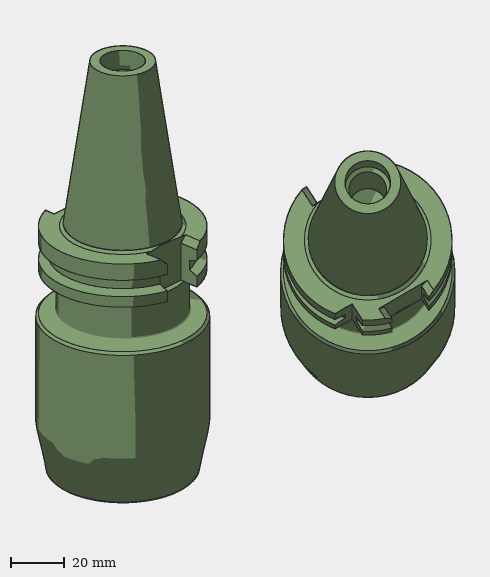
import cadquery as cq
import math

total_length = 171.2
body_radius = 32.5

nose_radius = 28.8
nose_chamfer = 0.7
nose_taper_top_radius = 32.0
nose_taper_top = 17.0
body_cylinder_bottom = 20.7
body_chamfer = 1.0
body_cylinder_top = 64.2
shoulder_top = 66.8
shoulder_inner_radius = 26.0

neck_radius = 50.0 / 2
neck_fillet_radius = shoulder_inner_radius - neck_radius

flange_radius = 31.5
flange_bottom = 83.9
flange_top = 102.0
groove_radius = 27.9
groove_bottom_edge = 88.4
groove_top_edge = 95.2
groove_side_height = 1.5

taper_small_radius = 12.3
taper_large_radius = 22.3
taper_base = 103.1
relief_radius = 43.8 / 2
relief_collar_radius = 23.6
relief_top = 102.8

counterbore_radius = 17.0 / 2
counterbore_depth = 6.3
recess_radius = 17.5 / 2
recess_depth = 8.2
hole_radius = 14.0 / 2
hole_shoulder_depth = 9.0
hole_depth = 29.1
drill_half_angle = math.radians(59)

slot_half_width = 8.0
slot_bevel = 2.5
left_slot_floor = 25.2
right_slot_floor = 22.3
notch_x = -18.3
notch_y = 18.2


def make_holder():
    """Revolve the outside outline of the holder about Z."""
    fillet_mid_offset = neck_fillet_radius * (1 - math.sqrt(0.5))
    outline = (
        cq.Workplane("XZ")
        .lineTo(nose_radius - nose_chamfer, 0)
        .lineTo(nose_radius, nose_chamfer)
        .lineTo(nose_taper_top_radius, nose_taper_top)
        .tangentArcPoint((body_radius, body_cylinder_bottom), relative=False)
        .lineTo(body_radius, body_cylinder_top)
        .lineTo(body_radius - body_chamfer, body_cylinder_top + body_chamfer)
        .lineTo(shoulder_inner_radius, shoulder_top)
        .threePointArc(
            (neck_radius + fillet_mid_offset, shoulder_top + fillet_mid_offset),
            (neck_radius, shoulder_top + neck_fillet_radius),
        )
        .lineTo(neck_radius, flange_bottom)
        .lineTo(flange_radius, flange_bottom)
        .lineTo(flange_radius, groove_bottom_edge)
        .lineTo(groove_radius, groove_bottom_edge + groove_side_height)
        .lineTo(groove_radius, groove_top_edge - groove_side_height)
        .lineTo(flange_radius, groove_top_edge)
        .lineTo(flange_radius, flange_top)
        .lineTo(relief_collar_radius, flange_top)
        .lineTo(relief_radius, relief_top)
        .lineTo(taper_large_radius, taper_base)
        .lineTo(taper_small_radius, total_length)
        .lineTo(0, total_length)
        .close()
    )
    return outline.revolve(360, (0, 0), (0, 1))


def make_bore():
    """Stepped bore with a recess below the counterbore and a drill-point end."""
    tip_depth = hole_depth + hole_radius / math.tan(drill_half_angle)
    outline = (
        cq.Workplane("XZ", origin=(0, 0, total_length))
        .lineTo(counterbore_radius, 0)
        .lineTo(counterbore_radius, -counterbore_depth)
        .lineTo(recess_radius, -recess_depth)
        .lineTo(hole_radius, -hole_shoulder_depth)
        .lineTo(hole_radius, -hole_depth)
        .lineTo(0, -tip_depth)
        .close()
    )
    return outline.revolve(360, (0, 0), (0, 1))


def make_slot(floor_distance, side):
    """Driving slot with bevelled edges that also clears the relief collar; side is the sign of X."""
    mouth_half_width = slot_half_width + slot_bevel
    outline = [
        (-slot_half_width, flange_bottom),
        (slot_half_width, flange_bottom),
        (slot_half_width, flange_top - slot_bevel),
        (mouth_half_width, flange_top),
        (mouth_half_width, relief_top),
        (-mouth_half_width, relief_top),
        (-mouth_half_width, flange_top),
        (-slot_half_width, flange_top - slot_bevel),
    ]
    return (
        cq.Workplane("YZ", origin=(side * floor_distance, 0, 0))
        .polyline(outline)
        .close()
        .extrude(side * (body_radius - floor_distance))
    )


def make_notch():
    """Square-cornered cut through the flange in the -X, +Y quadrant."""
    return cq.Workplane("XY").box(
        body_radius + notch_x,
        body_radius - notch_y,
        flange_top - flange_bottom,
        centered=False,
    ).translate((-body_radius, notch_y, flange_bottom))


result = (
    make_holder()
    .cut(make_bore())
    .cut(make_slot(left_slot_floor, -1))
    .cut(make_slot(right_slot_floor, 1))
    .cut(make_notch())
)